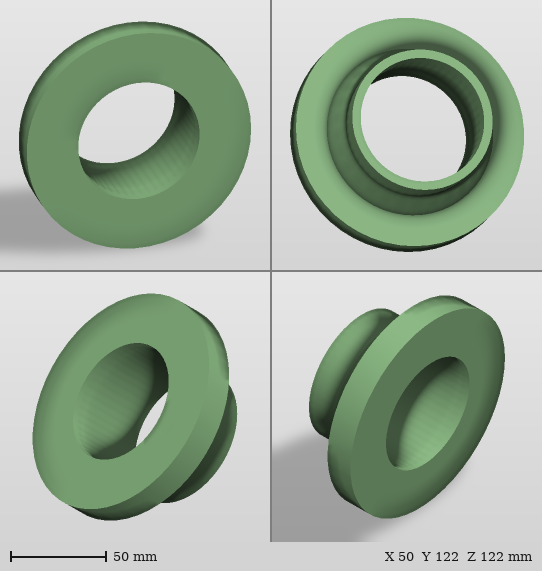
import cadquery as cq

total_length = 50.0
flange_diameter = 122.0
flange_thickness = 16.1
neck_diameter = 75.0
neck_length = 17.9
bore_diameter = 66.0
flare_diameter = 89.0

neck_start = -total_length / 2
flare_start = neck_start + neck_length
flange_end = total_length / 2
flange_start = flange_end - flange_thickness
flange_radius = flange_diameter / 2
neck_radius = neck_diameter / 2
bore_radius = bore_diameter / 2
flare_radius = flare_diameter / 2

section = (
    cq.Workplane("XY")
    .moveTo(neck_start, bore_radius)
    .lineTo(neck_start, neck_radius)
    .lineTo(flare_start, neck_radius)
    .lineTo(flange_start, flare_radius)
    .lineTo(flange_start, flange_radius)
    .lineTo(flange_end, flange_radius)
    .lineTo(flange_end, bore_radius)
    .close()
)

result = section.revolve(360, (0, 0, 0), (1, 0, 0))